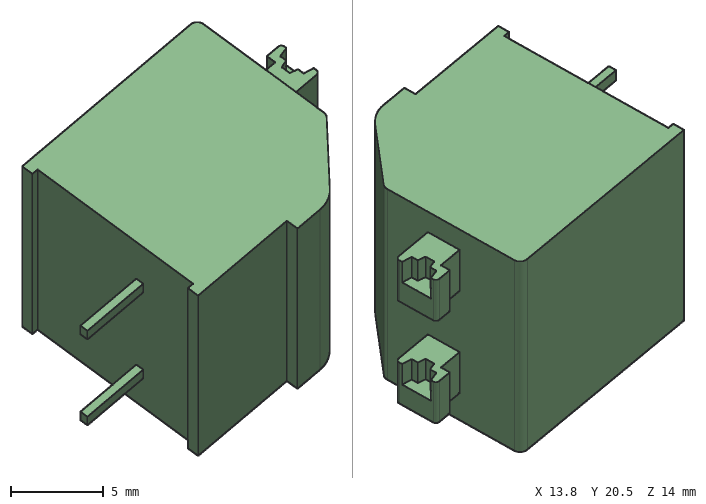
import cadquery as cq

height = 14.0
overall_width = 13.75
lip_overhang = 0.78
wall_x = overall_width - lip_overhang
lip_y = 7.01
top_y = 13.8
slope_start_x = 9.57
slope_run = overall_width - slope_start_x
slope_end_y = top_y - slope_run
nose_radius = 2.0
corner_radius = 0.5
foot_width = 0.75
foot_height = 0.4

pole_pitch = 7.5

lever_right_x = 6.52
lever_stem_width = 2.21
lever_head_width = 2.83
lever_top_y = 16.5
lever_hook_depth = 1.13
lever_height = 3.01
lever_bottom_z = 1.99
lever_corner_radius = 0.23

notch_center_x = 5.08
notch_mouth_width = 2.0
notch_step_width = 1.72
notch_slot_width = 0.86
notch_floor_width = 0.6
notch_step_depth = 0.64
notch_depth_z = lever_height / 2

pin_left_x = 8.04
pin_width = 0.51
pin_thickness = 0.75
pin_length = 4.0
pin_bottom_z = 2.55


def make_housing():
    body = (
        cq.Workplane("XY")
        .moveTo(0, 0)
        .lineTo(foot_width, 0)
        .lineTo(foot_width, foot_height)
        .lineTo(wall_x - foot_width, foot_height)
        .lineTo(wall_x - foot_width, 0)
        .lineTo(wall_x, 0)
        .lineTo(wall_x, lip_y)
        .lineTo(overall_width, lip_y)
        .lineTo(overall_width, slope_end_y)
        .lineTo(slope_start_x, top_y)
        .lineTo(0, top_y)
        .close()
        .extrude(height)
    )
    nose = cq.selectors.NearestToPointSelector((overall_width, slope_end_y, height / 2))
    body = body.edges(nose).fillet(nose_radius)
    for corner_x in (0, slope_start_x):
        corner = cq.selectors.NearestToPointSelector((corner_x, top_y, height / 2))
        body = body.edges(corner).fillet(corner_radius)
    return body


def make_lever(bottom_z):
    head_left_x = lever_right_x - lever_head_width
    stem_left_x = lever_right_x - lever_stem_width
    hook_y = lever_top_y - lever_hook_depth
    lever = (
        cq.Workplane("XY", origin=(0, 0, bottom_z))
        .moveTo(stem_left_x, top_y)
        .lineTo(lever_right_x, top_y)
        .lineTo(lever_right_x, lever_top_y)
        .lineTo(head_left_x, lever_top_y)
        .lineTo(head_left_x, hook_y)
        .lineTo(stem_left_x, hook_y)
        .close()
        .extrude(lever_height)
        .faces(">Y")
        .edges("|Z")
        .fillet(lever_corner_radius)
    )
    step_y = lever_top_y - notch_step_depth
    right_side = [
        (notch_floor_width / 2, hook_y),
        (notch_slot_width / 2, step_y),
        (notch_step_width / 2, step_y),
        (notch_mouth_width / 2, lever_top_y),
    ]
    left_side = [(-x, y) for x, y in reversed(right_side)]
    notch_floor_z = bottom_z + lever_height - notch_depth_z
    notch = (
        cq.Workplane("XY", origin=(notch_center_x, 0, notch_floor_z))
        .polyline(right_side + left_side)
        .close()
        .extrude(notch_depth_z)
    )
    return lever.cut(notch)


def make_pin(bottom_z):
    return cq.Workplane("XY").box(
        pin_width, pin_length + foot_height, pin_thickness, centered=False
    ).translate((pin_left_x, -pin_length, bottom_z))


result = make_housing()
for pole in range(2):
    pole_z = pole * pole_pitch
    result = result.union(make_lever(lever_bottom_z + pole_z))
    result = result.union(make_pin(pin_bottom_z + pole_z))